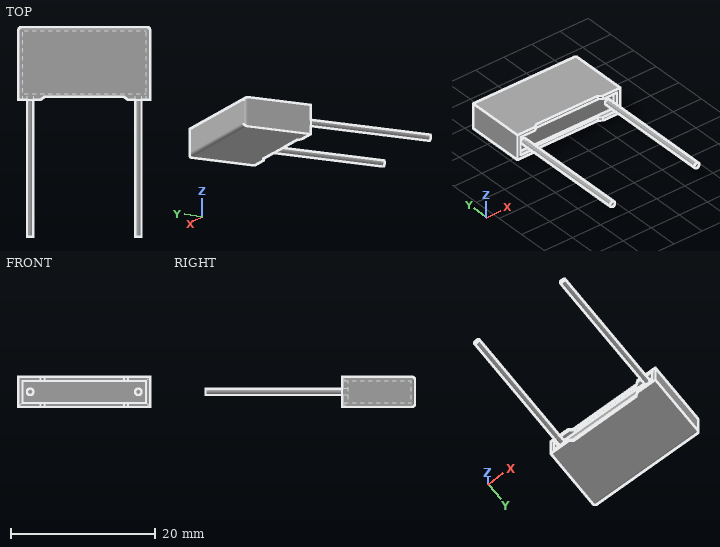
import cadquery as cq

case_width = 18.3
case_height = 4.22
case_depth = 10.13
overall_length = 29.1

wall = 0.58
back_edge_radius = 0.5
notch_depth = 0.4
notch_mouth_width = 12.08
notch_floor_width = 11.03

fill_recess = 0.8
lead_diameter = 0.9
lead_pitch = 15.0

cavity_width = case_width - 2 * wall
cavity_height = case_height - 2 * wall
cavity_depth = case_depth - wall
lead_tip_y = case_depth - overall_length


def box_along_y(width, height, start_y, end_y):
    """Box centred on X and Z, between two Y positions."""
    depth = end_y - start_y
    return cq.Workplane("XY").box(width, depth, height).translate((0, start_y + depth / 2, 0))


def make_mouth_notch():
    """Trapezoidal cutter that lowers the rim of both broad walls."""
    return (
        cq.Workplane("XY")
        .polyline([
            (-notch_mouth_width / 2, 0),
            (notch_mouth_width / 2, 0),
            (notch_floor_width / 2, notch_depth),
            (-notch_floor_width / 2, notch_depth),
        ])
        .close()
        .extrude(case_height / 2, both=True)
    )


def make_case():
    """Open box with rounded back edges and a notched rim."""
    shell = box_along_y(case_width, case_height, 0, case_depth)
    shell = shell.faces(">Y").edges().fillet(back_edge_radius)
    cavity = box_along_y(cavity_width, cavity_height, 0, cavity_depth)
    return shell.cut(cavity).cut(make_mouth_notch())


def make_fill():
    """Resin block that fills the cavity up to a face set back from the rim."""
    return box_along_y(cavity_width, cavity_height, fill_recess, cavity_depth)


def make_lead(x):
    """Straight round wire that starts on the resin face."""
    return (
        cq.Workplane("XZ", origin=(x, fill_recess, 0))
        .circle(lead_diameter / 2)
        .extrude(fill_recess - lead_tip_y)
    )


case = make_case()
fill = make_fill()
leads = [make_lead(side * lead_pitch / 2) for side in (-1, 1)]

result = cq.Compound.makeCompound([case.val(), fill.val(), *[lead.val() for lead in leads]])